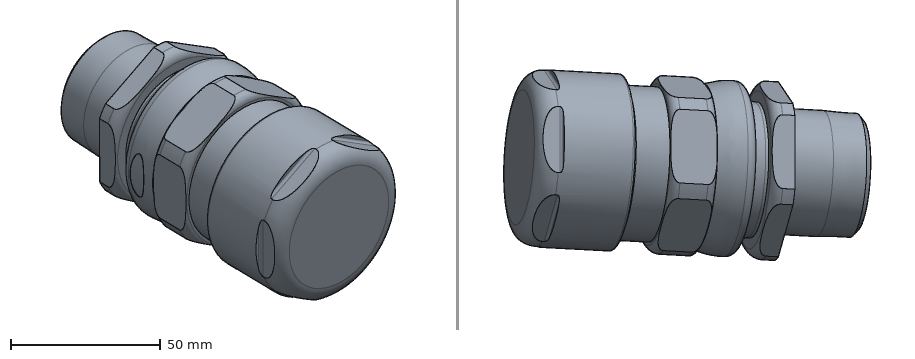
import cadquery as cq
import math


HEX_SIDES = 6
HEX_ACROSS_FLATS = 55.0
HEX_CORNER_DIAMETER = 60.5
CORNER_RADIUS = HEX_CORNER_DIAMETER / 2
FLAT_DISTANCE = HEX_ACROSS_FLATS / 2

TIP_RADIUS = 18.9
TIP_CHAMFER_END = 1.9
TAPER_START_RADIUS = 20.8
TAPER_END = 13.4
SPIGOT_RADIUS = 21.2
ROOT_CHAMFER_LENGTH = 0.3
ROOT_CHAMFER_HEIGHT = 0.5
FLANGE_START = 28.0
FLANGE_END = 36.0
FLANGE_ROUND = 3.7
NECK_RADIUS = 22.8
NECK_CONE_START = 37.0
NECK_CONE_RADIUS = 23.7

RING_START = 41.2
RING_END = 54.7
RING_RADIUS = 29.6
RING_ROUND = 3.4
RING_END_RADIUS = 27.9
LABEL_CENTRE = 48.3
LABEL_LENGTH = 5.9
LABEL_HEIGHT = 17.2
LABEL_DEPTH = 0.1

BODY_HEX_END = 70.7
BODY_HEX_ROUND = 3.1
TUBE_RADIUS = 26.1
FLARE_START = 82.2
FLARE_RADIUS = 27.0

NUT_START = 83.2
NUT_END = 116.4
NUT_RADIUS = 59.5 / 2
NUT_FRONT_ROUND = 0.8
NUT_DOME_ROUND = 7.1
NUT_FLATS_START = 107.7
NUT_FLATS_FILLET = 1.0

DIAGONAL = math.sqrt(0.5)


def revolve_about_x(profile):
    """Turn an open XY profile that starts and ends on the X axis."""
    return profile.close().revolve(360, (0, 0, 0), (1, 0, 0))


def hex_prism(start, end):
    """Hexagonal bar along X with flats facing +Y and -Y and corners at +Z and -Z."""
    corner_to_corner = HEX_ACROSS_FLATS / math.cos(math.pi / HEX_SIDES)
    return (
        cq.Workplane("YZ", origin=(start, 0, 0))
        .transformed(rotate=(0, 0, 90))
        .polygon(HEX_SIDES, corner_to_corner)
        .extrude(end - start)
    )


def round_to_face(profile, end, radius, round_radius):
    """Continue a profile on a cylinder with a quarter round that ends on the face at `end`."""
    start = end - round_radius
    return profile.lineTo(start, radius).threePointArc(
        (start + round_radius * DIAGONAL, radius - round_radius * (1 - DIAGONAL)),
        (end, radius - round_radius),
    )


def round_from_face(profile, start, radius, round_radius):
    """Draw the face at `start` and the quarter round that leads onto a cylinder."""
    end = start + round_radius
    return profile.lineTo(start, radius - round_radius).threePointArc(
        (end - round_radius * DIAGONAL, radius - round_radius * (1 - DIAGONAL)),
        (end, radius),
    )


def make_entry_item():
    spigot = revolve_about_x(
        cq.Workplane("XY")
        .moveTo(0, 0)
        .lineTo(0, TIP_RADIUS)
        .lineTo(TIP_CHAMFER_END, TAPER_START_RADIUS)
        .lineTo(TAPER_END, SPIGOT_RADIUS)
        .lineTo(FLANGE_START - ROOT_CHAMFER_LENGTH, SPIGOT_RADIUS)
        .lineTo(FLANGE_START, SPIGOT_RADIUS + ROOT_CHAMFER_HEIGHT)
        .lineTo(FLANGE_START, NECK_RADIUS)
        .lineTo(NECK_CONE_START, NECK_RADIUS)
        .lineTo(RING_START, NECK_CONE_RADIUS)
        .lineTo(RING_START, 0)
    )
    blank = cq.Workplane("XY").moveTo(FLANGE_START, 0).lineTo(FLANGE_START, CORNER_RADIUS)
    blank = round_to_face(blank, FLANGE_END, CORNER_RADIUS, FLANGE_ROUND)
    flange = revolve_about_x(blank.lineTo(FLANGE_END, 0))
    flange = flange.intersect(hex_prism(FLANGE_START, FLANGE_END))
    return spigot.union(flange)


def make_seal_ring():
    crown_start = RING_START + RING_ROUND
    crown_length = RING_END - crown_start
    crown_drop = RING_RADIUS - RING_END_RADIUS
    crown_arc_radius = (crown_length**2 + crown_drop**2) / (2 * crown_drop)
    half_angle = math.asin(crown_length / crown_arc_radius) / 2
    crown_middle = (
        crown_start + crown_arc_radius * math.sin(half_angle),
        RING_RADIUS - crown_arc_radius * (1 - math.cos(half_angle)),
    )

    def turned(offset):
        """The ring with its crown lowered by `offset`."""
        profile = cq.Workplane("XY").moveTo(RING_START, 0)
        profile = round_from_face(profile, RING_START, RING_RADIUS - offset, RING_ROUND)
        return revolve_about_x(
            profile.threePointArc(
                (crown_middle[0], crown_middle[1] - offset),
                (RING_END, RING_END_RADIUS - offset),
            ).lineTo(RING_END, 0)
        )

    ring = turned(0)
    label_outline = (
        cq.Workplane("XZ", origin=(LABEL_CENTRE, 0, 0))
        .ellipse(LABEL_LENGTH / 2, LABEL_HEIGHT / 2)
        .extrude(CORNER_RADIUS)
    )
    label_recess = label_outline.cut(turned(LABEL_DEPTH))
    return ring.cut(label_recess)


def make_body():
    blank = cq.Workplane("XY").moveTo(RING_END, 0)
    blank = round_from_face(blank, RING_END, CORNER_RADIUS, BODY_HEX_ROUND)
    blank = round_to_face(blank, BODY_HEX_END, CORNER_RADIUS, BODY_HEX_ROUND)
    hexagon = revolve_about_x(blank.lineTo(BODY_HEX_END, 0))
    hexagon = hexagon.intersect(hex_prism(RING_END, BODY_HEX_END))
    tube = revolve_about_x(
        cq.Workplane("XY")
        .moveTo(BODY_HEX_END, 0)
        .lineTo(BODY_HEX_END, TUBE_RADIUS)
        .lineTo(FLARE_START, TUBE_RADIUS)
        .lineTo(NUT_START, FLARE_RADIUS)
        .lineTo(NUT_START, 0)
    )
    return hexagon.union(tube)


def make_back_nut():
    profile = cq.Workplane("XY").moveTo(NUT_START, 0)
    profile = round_from_face(profile, NUT_START, NUT_RADIUS, NUT_FRONT_ROUND)
    profile = round_to_face(profile, NUT_END, NUT_RADIUS, NUT_DOME_ROUND)
    nut = revolve_about_x(profile.lineTo(NUT_END, 0))

    fillet_end = NUT_FLATS_START + NUT_FLATS_FILLET
    flat_cutter = (
        cq.Workplane("XY", origin=(0, 0, -NUT_RADIUS))
        .moveTo(NUT_END, FLAT_DISTANCE)
        .lineTo(fillet_end, FLAT_DISTANCE)
        .radiusArc((NUT_FLATS_START, FLAT_DISTANCE + NUT_FLATS_FILLET), NUT_FLATS_FILLET)
        .lineTo(NUT_FLATS_START, NUT_RADIUS + NUT_FLATS_FILLET)
        .lineTo(NUT_END, NUT_RADIUS + NUT_FLATS_FILLET)
        .close()
        .extrude(2 * NUT_RADIUS)
    )
    for flat in range(HEX_SIDES):
        nut = nut.cut(flat_cutter.rotate((0, 0, 0), (1, 0, 0), flat * 360 / HEX_SIDES))
    return nut


entry_item = make_entry_item()
seal_ring = make_seal_ring()
body = make_body()
back_nut = make_back_nut()

result = cq.Compound.makeCompound(
    [entry_item.val(), seal_ring.val(), body.val(), back_nut.val()]
)